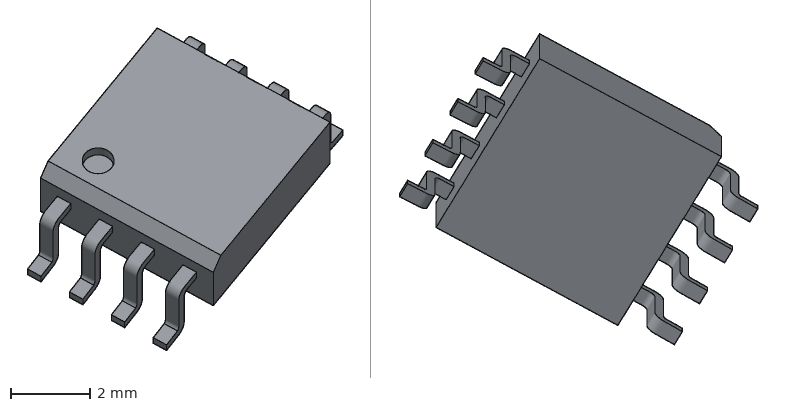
import cadquery as cq
import math

BODY_LENGTH_X = 5.25
BODY_WIDTH_Y = 5.3
BODY_HEIGHT = 1.8
TOP_Z = 2.58
BODY_BOTTOM_Z = TOP_Z - BODY_HEIGHT
PIN_ONE_CHAMFER = 0.34

DIMPLE_DIAMETER = 0.8
DIMPLE_DEPTH = 0.3
DIMPLE_X = -1.58
DIMPLE_Y = -1.6

LEADS_PER_SIDE = 4
LEAD_PITCH = 1.27
LEAD_WIDTH = 0.41
LEAD_THICKNESS = 0.25
TIP_TO_TIP_Y = 8.0
FOOT_REACH = 0.55
FOOT_TILT_DEGREES = 3.5
SHOULDER_TOP_Z = 1.84
INNER_BEND_RADIUS = 0.16
OUTER_BEND_RADIUS = 0.27
EMBEDDED_LENGTH = 0.16

INSTEP_RUN = 0.06
INSTEP_RISE = 0.13


def make_body():
    """Rectangular block, with a chamfered pin one edge and a dimple in the top face."""
    block = (
        cq.Workplane("XY", origin=(0, 0, BODY_BOTTOM_Z))
        .rect(BODY_LENGTH_X, BODY_WIDTH_Y)
        .extrude(BODY_HEIGHT)
        .faces("<Y")
        .edges(">Z")
        .chamfer(PIN_ONE_CHAMFER)
    )
    dimple = (
        cq.Workplane("XY", origin=(DIMPLE_X, DIMPLE_Y, TOP_Z - DIMPLE_DEPTH))
        .circle(DIMPLE_DIAMETER / 2)
        .extrude(DIMPLE_DEPTH)
    )
    return block.cut(dimple)


def make_lead():
    """Lead on the +Y side, centred on X = 0: shoulder, vertical leg and tilted foot."""
    root_y = BODY_WIDTH_Y / 2 - EMBEDDED_LENGTH
    tip_y = TIP_TO_TIP_Y / 2
    leg_outer_y = tip_y - FOOT_REACH
    leg_inner_y = leg_outer_y - LEAD_THICKNESS
    shoulder_bottom_z = SHOULDER_TOP_Z - LEAD_THICKNESS
    foot_slope = math.tan(math.radians(FOOT_TILT_DEGREES))
    heel_z = foot_slope * (tip_y - leg_inner_y)
    instep_z = LEAD_THICKNESS + foot_slope * (FOOT_REACH - INSTEP_RUN)

    shoulder_outer = (leg_outer_y, SHOULDER_TOP_Z)
    shoulder_inner = (leg_inner_y, shoulder_bottom_z)
    heel = (leg_inner_y, heel_z)
    lead = (
        cq.Workplane("YZ")
        .moveTo(root_y, SHOULDER_TOP_Z)
        .lineTo(*shoulder_outer)
        .lineTo(leg_outer_y, instep_z + INSTEP_RISE)
        .radiusArc((leg_outer_y + INSTEP_RUN, instep_z), -INNER_BEND_RADIUS)
        .lineTo(tip_y, LEAD_THICKNESS)
        .lineTo(tip_y, 0)
        .lineTo(*heel)
        .lineTo(*shoulder_inner)
        .lineTo(root_y, shoulder_bottom_z)
        .close()
        .extrude(LEAD_WIDTH / 2, both=True)
    )

    bends = [
        (shoulder_outer, OUTER_BEND_RADIUS),
        (shoulder_inner, INNER_BEND_RADIUS),
        (heel, OUTER_BEND_RADIUS),
    ]
    for (y, z), radius in bends:
        corner = cq.selectors.NearestToPointSelector((0, y, z))
        lead = lead.edges("|X").edges(corner).fillet(radius)
    return lead


result = make_body()
back_lead = make_lead()
front_lead = back_lead.mirror("XZ")
first_lead_x = -LEAD_PITCH * (LEADS_PER_SIDE - 1) / 2
for index in range(LEADS_PER_SIDE):
    shift = (first_lead_x + index * LEAD_PITCH, 0, 0)
    result = result.union(back_lead.translate(shift)).union(front_lead.translate(shift))